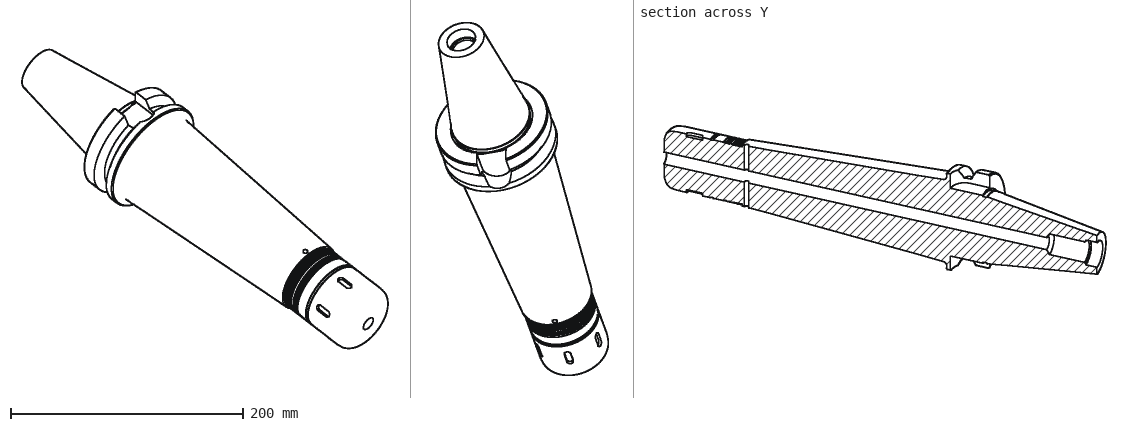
import cadquery as cq
import math

length = 402.0

taper_small_diameter = 40.5
taper_end = 102.0
taper_large_diameter = 70.0
neck_diameter = 68.7

flange_start = 105.0
flange_end = 140.0
flange_diameter = 100.0
flange_chamfer = 1.0
recess_diameter = 72.7
recess_depth = 1.2
v_groove_start = 117.7
v_groove_end = 132.5
v_groove_diameter = 84.0
v_groove_half_angle = 30
v_groove_depth = (flange_diameter - v_groove_diameter) / 2
v_groove_run = v_groove_depth * math.tan(math.radians(v_groove_half_angle))

drive_slot_width = 25.7
drive_slot_end = 136.0
drive_slot_floor_height = 35.5

body_start_diameter = 85.5
body_root_fillet = 3.2
body_end = 329.0
body_end_diameter = 63.5

nut_diameter = 61.0
groove_bottom_diameter = 60.0
nut_relief_start = 344.0
nut_start = 346.5
nut_chamfer_length = 1.5
nut_taper_start = 389.7
nose_start = 394.5
nose_start_diameter = 60.0
nose_end = 400.0
nose_end_diameter = 49.0
nose_bulge = 0.6
end_face_diameter = 38.5

collar_groove_width = 1.2
collar_groove_starts = (body_end, 332.0, 334.3, 336.7, 340.7)
nut_groove_width = 2.5
nut_groove_start = 356.0

spanner_slot_count = 6
spanner_slot_center = 373.3
spanner_slot_length = 15.0
spanner_slot_width = 5.5
spanner_slot_depth = 3.0

mouth_diameter = 25.5
mouth_depth = 10.5
thread_diameter = 21.0
thread_start_diameter = 23.5
thread_depth = 44.0
drill_point_angle = 118
coolant_diameter = 12.0

cross_hole_diameter = 4.0
cross_hole_center = 325.0


def revolve_about_x(outline):
    return outline.close().revolve(360, (0, 0, 0), (1, 0, 0))


def holder_blank():
    flange_radius = flange_diameter / 2
    body_radius = body_start_diameter / 2
    nut_radius = nut_diameter / 2
    relief_radius = groove_bottom_diameter / 2
    nose_middle = (
        (nose_start + nose_end) / 2 + nose_bulge,
        (nose_start_diameter + nose_end_diameter) / 4 + nose_bulge,
    )
    fillet_offset = body_root_fillet * (1 - math.sqrt(0.5))
    outline = (
        cq.Workplane("XY")
        .lineTo(0, taper_small_diameter / 2)
        .lineTo(taper_end, taper_large_diameter / 2)
        .lineTo(taper_end, neck_diameter / 2)
        .lineTo(flange_start + recess_depth, neck_diameter / 2)
        .lineTo(flange_start + recess_depth, recess_diameter / 2)
        .lineTo(flange_start, recess_diameter / 2)
        .lineTo(flange_start, flange_radius - flange_chamfer)
        .lineTo(flange_start + flange_chamfer, flange_radius)
        .lineTo(v_groove_start, flange_radius)
        .lineTo(v_groove_start + v_groove_run, v_groove_diameter / 2)
        .lineTo(v_groove_end - v_groove_run, v_groove_diameter / 2)
        .lineTo(v_groove_end, flange_radius)
        .lineTo(flange_end - flange_chamfer, flange_radius)
        .lineTo(flange_end, flange_radius - flange_chamfer)
        .lineTo(flange_end, body_radius + body_root_fillet)
        .threePointArc(
            (flange_end + fillet_offset, body_radius + fillet_offset),
            (flange_end + body_root_fillet, body_radius),
        )
        .lineTo(body_end, body_end_diameter / 2)
        .lineTo(body_end, nut_radius)
        .lineTo(nut_relief_start, nut_radius)
        .lineTo(nut_relief_start, relief_radius)
        .lineTo(nut_start - nut_chamfer_length, relief_radius)
        .lineTo(nut_start, nut_radius)
        .lineTo(nut_taper_start, nut_radius)
        .lineTo(nose_start, nose_start_diameter / 2)
        .threePointArc(nose_middle, (nose_end, nose_end_diameter / 2))
        .lineTo(length, end_face_diameter / 2)
        .lineTo(length, 0)
    )
    return revolve_about_x(outline)


def ring_groove(start, width):
    return (
        cq.Workplane("YZ")
        .workplane(offset=start)
        .circle(flange_diameter / 2)
        .circle(groove_bottom_diameter / 2)
        .extrude(width)
    )


def drive_slot():
    half_width = drive_slot_width / 2
    straight_end = drive_slot_end - half_width
    return (
        cq.Workplane("XY")
        .workplane(offset=drive_slot_floor_height)
        .moveTo(flange_start, -half_width)
        .lineTo(straight_end, -half_width)
        .threePointArc((drive_slot_end, 0), (straight_end, half_width))
        .lineTo(flange_start, half_width)
        .close()
        .extrude(flange_diameter / 2)
    )


def spanner_slot():
    return (
        cq.Workplane("XY")
        .workplane(offset=nut_diameter / 2 - spanner_slot_depth)
        .center(spanner_slot_center, 0)
        .slot2D(spanner_slot_length, spanner_slot_width)
        .extrude(nut_diameter / 2)
    )


def stepped_bore():
    thread_radius = thread_diameter / 2
    coolant_radius = coolant_diameter / 2
    thread_chamfer = thread_start_diameter / 2 - thread_radius
    point_length = (thread_radius - coolant_radius) / math.tan(math.radians(drill_point_angle / 2))
    outline = (
        cq.Workplane("XY")
        .lineTo(0, mouth_diameter / 2)
        .lineTo(mouth_depth, mouth_diameter / 2)
        .lineTo(mouth_depth, thread_start_diameter / 2)
        .lineTo(mouth_depth + thread_chamfer, thread_radius)
        .lineTo(thread_depth, thread_radius)
        .lineTo(thread_depth + point_length, coolant_radius)
        .lineTo(length, coolant_radius)
        .lineTo(length, 0)
    )
    return revolve_about_x(outline)


def cross_hole():
    return (
        cq.Workplane("XY")
        .center(cross_hole_center, 0)
        .circle(cross_hole_diameter / 2)
        .extrude(flange_diameter / 2, both=True)
    )


def turn_about_x(shape, angle):
    return shape.rotate((0, 0, 0), (1, 0, 0), angle)


result = holder_blank()

for groove_start in collar_groove_starts:
    result = result.cut(ring_groove(groove_start, collar_groove_width))
result = result.cut(ring_groove(nut_groove_start, nut_groove_width))

for angle in (0, 180):
    result = result.cut(turn_about_x(drive_slot(), angle))

for index in range(spanner_slot_count):
    result = result.cut(turn_about_x(spanner_slot(), index * 360 / spanner_slot_count))

result = result.cut(stepped_bore())
result = result.cut(cross_hole())